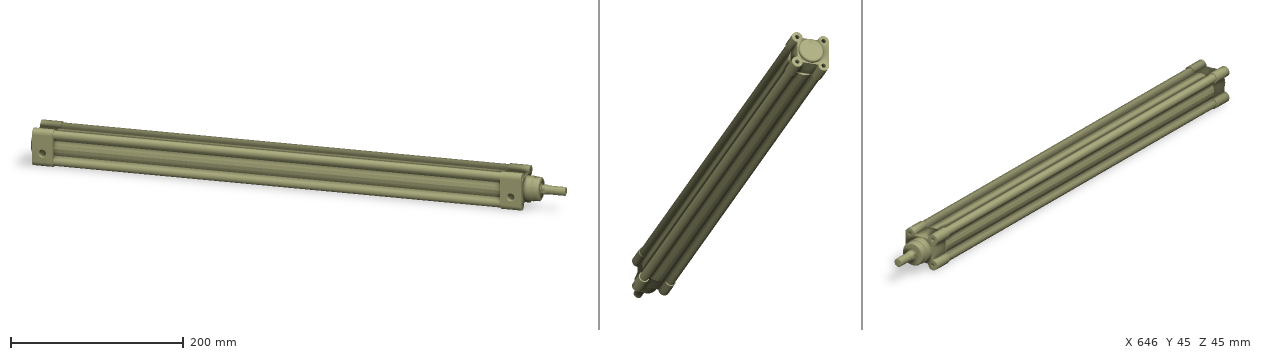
import cadquery as cq
import math


total_length = 646.0
rear_spigot_length = 4.0
body_length = 594.0
cap_length = 25.0
front_spigot_length = 18.0
nose_length = 8.5
collar_length = 1.0
flats_length = 4.5
thread_length = 21.0

side = 45.0
corner_pitch = 32.0
lobe_undercut = 0.3
screw_hole_diameter = 5.0
screw_hole_depth = 13.0

spigot_radius = 15.0
nose_radius = 14.0
collar_radius = 7.0
spigot_fillet = 2.0

port_diameter = 8.5
port_chamfer = 0.5
port_depth = 11.5
port_height = -6.0

barrel_lobe_radius = 5.0
ridge_height = 19.0
ridge_drop = 0.85
shoulder_half_width = 4.5
valley_half_width = 9.0
valley_height = 16.0

rod_radius = 6.0
flats_offset = 5.0
thread_radius = 5.0
thread_shoulder = 2.0
thread_chamfer = 0.5

half_pitch = corner_pitch / 2
cap_lobe_radius = side / 2 - half_pitch
recess_offset = half_pitch - lobe_undercut
rear_face = rear_spigot_length
front_face = rear_face + body_length
barrel_start = rear_face + cap_length
barrel_end = front_face - cap_length
barrel_length = barrel_end - barrel_start
spigot_end = front_face + front_spigot_length
nose_start = spigot_end - nose_length
collar_end = spigot_end + collar_length
thread_start = total_length - thread_length
corners = [(y * half_pitch, z * half_pitch) for y in (-1, 1) for z in (-1, 1)]


def section_plane(x):
    """Workplane across the axis: local x is +Y, local y is +Z, normal is +X."""
    return cq.Workplane("YZ", origin=(x, 0, 0))


def disc(x, length, radius):
    return section_plane(x).circle(radius).extrude(length)


def air_port(x):
    """Cutter for a round port with a chamfered mouth, going in from the -Y side."""
    mouth = cq.Workplane("XZ", origin=(x, -side / 2, port_height))
    bore = mouth.circle(port_diameter / 2).extrude(-port_depth)
    countersink = (
        mouth.circle(port_diameter / 2 + port_chamfer)
        .workplane(offset=-port_chamfer)
        .circle(port_diameter / 2)
        .loft()
    )
    return bore.union(countersink)


def cap_block(x):
    """Cap with four round corner lobes, recessed between them except on the flat -Y side."""
    core = section_plane(x).rect(2 * recess_offset, 2 * recess_offset).extrude(cap_length)
    lobes = section_plane(x).pushPoints(corners).circle(cap_lobe_radius).extrude(cap_length)
    port_wall = (
        section_plane(x)
        .center(-(half_pitch + side / 2) / 2, 0)
        .rect(cap_lobe_radius, corner_pitch)
        .extrude(cap_length)
    )
    wall_join = (
        section_plane(x)
        .center(-half_pitch, 0)
        .rect(2 * lobe_undercut, corner_pitch)
        .extrude(cap_length)
    )
    block = core.union(lobes).union(wall_join).union(port_wall)
    return block.cut(air_port(x + cap_length / 2))


def screw_holes(x, depth):
    """Cutter for the blind corner holes; a negative depth goes toward -X."""
    return section_plane(x).pushPoints(corners).circle(screw_hole_diameter / 2).extrude(depth)


def make_rear_cap():
    spigot = disc(0, rear_spigot_length, spigot_radius)
    spigot = spigot.faces("<X").edges().fillet(spigot_fillet)
    return cap_block(rear_face).cut(screw_holes(rear_face, screw_hole_depth)).union(spigot)


def make_front_cap():
    spigot = disc(front_face, front_spigot_length - nose_length, spigot_radius)
    nose = disc(nose_start, nose_length, nose_radius).faces(">X").edges().fillet(spigot_fillet)
    collar = disc(spigot_end, collar_length, collar_radius)
    rod_hole = disc(barrel_end, collar_end - barrel_end, rod_radius)
    cap = cap_block(barrel_end).cut(screw_holes(front_face, -screw_hole_depth))
    return cap.union(spigot).union(nose).union(collar).cut(rod_hole)


def lobe_tangent_point():
    """Point where the line from the valley edge touches the inner side of the corner lobe."""
    across = half_pitch - valley_half_width
    up = half_pitch - valley_height
    distance = math.hypot(across, up)
    direction = math.atan2(up, across) + math.asin(barrel_lobe_radius / distance)
    reach = math.sqrt(distance**2 - barrel_lobe_radius**2)
    return (
        valley_half_width + reach * math.cos(direction),
        valley_height + reach * math.sin(direction),
    )


def make_barrel():
    """Extrusion with a low ridge on each side and a round lobe on each corner."""
    touch = lobe_tangent_point()
    lobe_crest = half_pitch + barrel_lobe_radius * math.sqrt(0.5)
    ridge = (0, ridge_height)
    shoulder = (shoulder_half_width, ridge_height - ridge_drop)
    valley = (valley_half_width, valley_height)

    def turned(point, quarter):
        y, z = point
        for _ in range(quarter):
            y, z = z, -y
        return y, z

    def mirrored(point):
        return point[1], point[0]

    outline = section_plane(barrel_start).moveTo(*ridge)
    for quarter in range(4):
        for point in (shoulder, valley, touch):
            outline = outline.lineTo(*turned(point, quarter))
        outline = outline.threePointArc(
            turned((lobe_crest, lobe_crest), quarter), turned(mirrored(touch), quarter)
        )
        for point in (valley, shoulder):
            outline = outline.lineTo(*turned(mirrored(point), quarter))
        if quarter < 3:
            outline = outline.lineTo(*turned(mirrored(ridge), quarter))
    return outline.close().extrude(barrel_length)


def make_rod():
    """Rod with two wrench flats facing -Y and +Y and a thinner threaded end."""
    profile = [
        (barrel_end, 0),
        (barrel_end, rod_radius),
        (thread_start - thread_shoulder, rod_radius),
        (thread_start, thread_radius),
        (total_length - thread_chamfer, thread_radius),
        (total_length, thread_radius - thread_chamfer),
        (total_length, 0),
    ]
    rod = cq.Workplane("XY").polyline(profile).close().revolve(360, (0, 0, 0), (1, 0, 0))
    for direction in (-1, 1):
        flat_cutter = (
            section_plane(collar_end)
            .center(direction * (flats_offset + rod_radius / 2), 0)
            .rect(rod_radius, 2 * rod_radius)
            .extrude(flats_length)
        )
        rod = rod.cut(flat_cutter)
    return rod


rear_cap = make_rear_cap()
barrel = make_barrel()
front_cap = make_front_cap()
rod = make_rod()

result = cq.Compound.makeCompound([rear_cap.val(), barrel.val(), front_cap.val(), rod.val()])